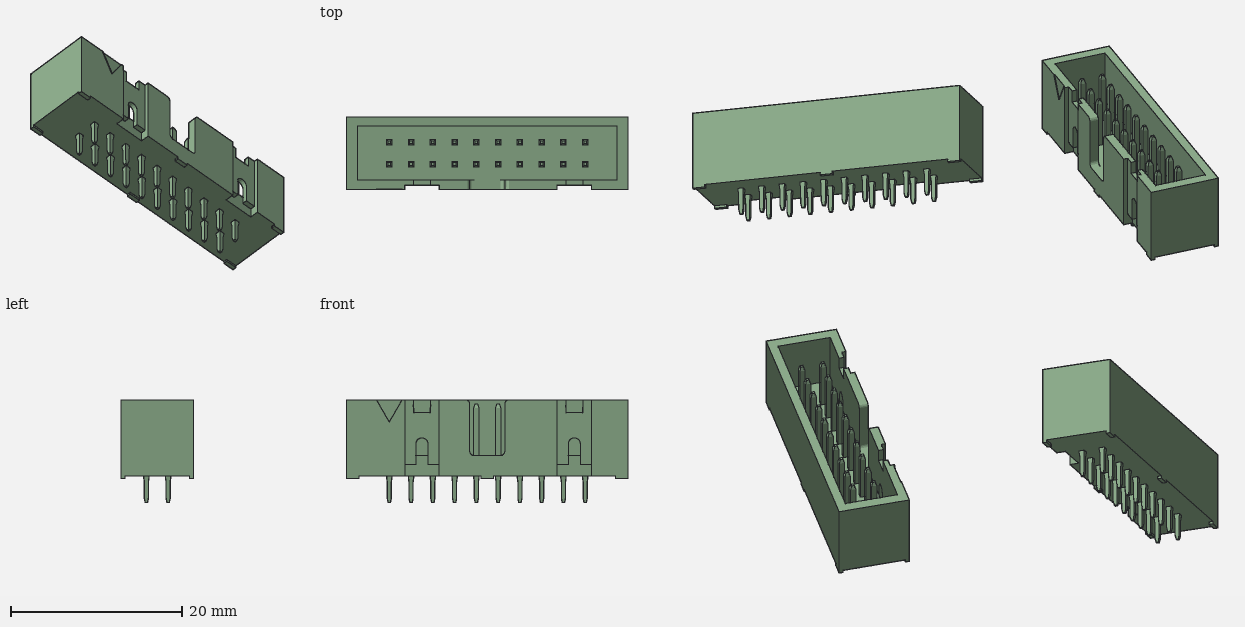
import cadquery as cq

body_length = 32.9
body_width = 8.5
body_height = 9.2
front_y = -body_width / 2
top_z = body_height

foot_height = 0.3
foot_length = 1.5
foot_width = 0.5
body_bottom_z = foot_height

end_wall = 1.3
side_wall = 1.1
cavity_depth = 6.5
floor_z = top_z - cavity_depth

pitch = 2.54
pin_columns = 10
pin_rows = 2
pin_size = 0.64
pin_tip_size = 0.32
pin_top_z = top_z - 0.5
pin_tip_length = 0.5
tail_size = 0.5
tail_tip_size = 0.3
tail_bottom_z = -2.8
tail_tip_length = 0.5
tail_taper_top_z = 0.1
tail_taper_bottom_z = -0.4

key_width = 4.1
key_radius = 0.5

recess_centers = (-3 * pitch, 4 * pitch)
recess_width = 4.0
recess_depth = 0.5
notch_width = 2.0
notch_depth = 1.5
window_width = 1.4
window_top_z = top_z - 4.45
relief_top_z = top_z - 7.55

mark_width = 3.0
mark_height = 2.6
mark_depth = 0.1
first_pin_x = -(pin_columns - 1) / 2 * pitch


def front_cut(x_center, width, z_low, z_high, depth):
    """Block of the given width and height reaching from the front face into the body."""
    block = cq.Workplane("XY").box(width, depth, z_high - z_low, centered=(True, False, False))
    return block.translate((x_center, front_y, z_low))


def front_plane(x_center=0):
    """Sketch plane on the front face; local Y is global Z and -extrude goes into the body."""
    return cq.Workplane("XZ", origin=(x_center, front_y, 0))


def shroud():
    """Walls and floor, with the cavity open at the top."""
    block_height = top_z - body_bottom_z
    block = cq.Workplane("XY", origin=(0, 0, body_bottom_z)).box(
        body_length, body_width, block_height, centered=(True, True, False)
    )
    cavity = cq.Workplane("XY", origin=(0, 0, floor_z)).box(
        body_length - 2 * end_wall,
        body_width - 2 * side_wall,
        cavity_depth,
        centered=(True, True, False),
    )
    return block.cut(cavity)


def feet():
    """Three feet along each long side: both ends and the middle."""
    end_x = (body_length - foot_length) / 2
    side_y = (body_width - foot_width) / 2
    points = [(x, y) for x in (-end_x, 0, end_x) for y in (-side_y, side_y)]
    return cq.Workplane("XY").pushPoints(points).rect(foot_length, foot_width).extrude(foot_height)


def key_slot():
    """Slot through the front wall, rounded at the floor and flared at the rim."""
    half = key_width / 2
    r = key_radius
    return (
        front_plane()
        .moveTo(-half - r, top_z)
        .radiusArc((-half, top_z - r), r)
        .lineTo(-half, floor_z + r)
        .radiusArc((-half + r, floor_z), -r)
        .lineTo(half - r, floor_z)
        .radiusArc((half, floor_z + r), -r)
        .lineTo(half, top_z - r)
        .radiusArc((half + r, top_z), r)
        .close()
        .extrude(-side_wall)
    )


def latch_recess(x_center):
    """Shallow recess with a rim notch, a round-topped window and a deeper relief at its foot."""
    recess = front_cut(x_center, recess_width, body_bottom_z, top_z, recess_depth)
    notch = front_cut(x_center, notch_width, top_z - notch_depth, top_z, side_wall)
    relief = front_cut(x_center, recess_width, body_bottom_z, relief_top_z, side_wall)
    half = window_width / 2
    arc_center_z = window_top_z - half
    window = (
        front_plane(x_center)
        .moveTo(-half, relief_top_z)
        .lineTo(half, relief_top_z)
        .lineTo(half, arc_center_z)
        .threePointArc((0, window_top_z), (-half, arc_center_z))
        .close()
        .extrude(-side_wall)
    )
    return recess.union(notch).union(relief).union(window)


def pin_one_mark():
    """Triangle pointing down from the rim at the first pin column."""
    half = mark_width / 2
    return (
        front_plane(first_pin_x)
        .polyline([(-half, top_z), (half, top_z), (0, top_z - mark_height)])
        .close()
        .extrude(-mark_depth)
    )


def square_taper(z_start, size_start, z_end, size_end):
    """Square frustum between two heights."""
    return (
        cq.Workplane("XY", origin=(0, 0, z_start))
        .rect(size_start, size_start)
        .workplane(offset=z_end - z_start)
        .rect(size_end, size_end)
        .loft(ruled=True)
    )


def pin():
    """Square contact with a pointed top and a narrower tail below the body."""
    shank_top_z = pin_top_z - pin_tip_length
    tail_end_z = tail_bottom_z + tail_tip_length
    sections = (
        (tail_bottom_z, tail_tip_size),
        (tail_end_z, tail_size),
        (tail_taper_bottom_z, tail_size),
        (tail_taper_top_z, pin_size),
        (shank_top_z, pin_size),
        (pin_top_z, pin_tip_size),
    )
    contact = cq.Workplane("XY")
    for (z_low, size_low), (z_high, size_high) in zip(sections, sections[1:]):
        contact = contact.union(square_taper(z_low, size_low, z_high, size_high))
    return contact


result = shroud().union(feet()).cut(key_slot()).cut(pin_one_mark())

for recess_x in recess_centers:
    result = result.cut(latch_recess(recess_x))

single_pin = pin()
for column in range(pin_columns):
    for row in range(pin_rows):
        pin_x = first_pin_x + column * pitch
        pin_y = (row - (pin_rows - 1) / 2) * pitch
        result = result.union(single_pin.translate((pin_x, pin_y, 0)))